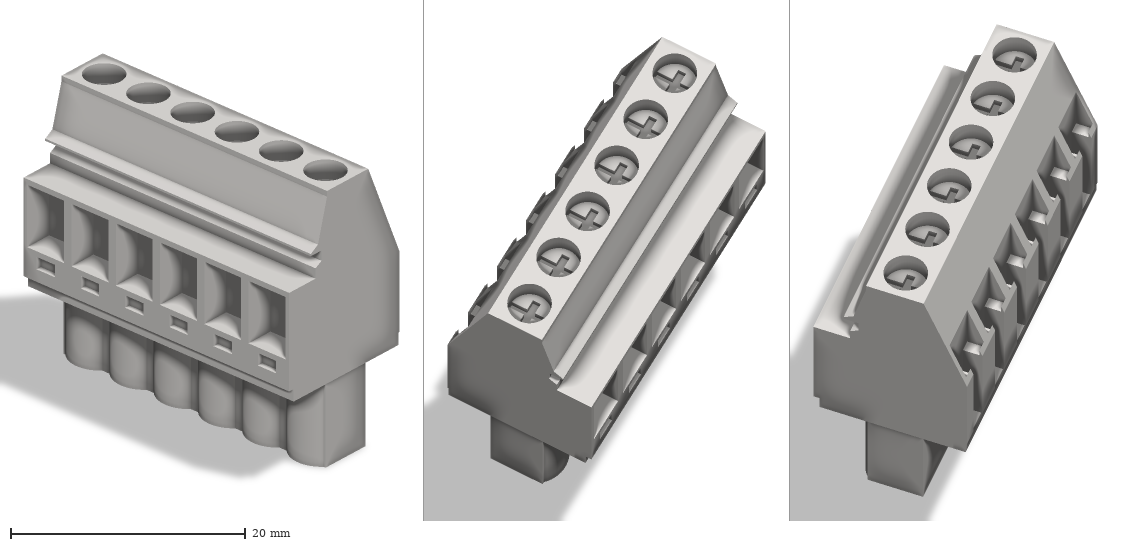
import cadquery as cq

LENGTH = 30.48
POLES = 6
PITCH = LENGTH / POLES
DEPTH = 14.1
HEIGHT = 27.1

HOUSING_BOTTOM = 8.3
SKIRT_TOP = 9.5
BACK_SLOPE_BOTTOM = 17.4
FRONT_BLOCK_TOP = 19.15
GROOVE_SLOPE_BOTTOM = 20.15
GROOVE_SLOPE_TOP = 20.57
NOSE_BOTTOM = 21.58
NOSE_TIP_TOP = 21.8
NOSE_ROOT = 22.35
TOP_EDGE_BOTTOM = 26.55

SKIRT_FRONT = 0.58
SKIRT_BACK = DEPTH - 0.12
NOSE_TIP_Y = 2.77
STEP_Y = 3.38
NOSE_ROOT_Y = 3.7
GROOVE_Y = 4.15
TOP_FRONT = 4.85
TOP_BACK = 10.12

PLUG_SIDE_INSET = 0.18
PLUG_FRONT = 4.88
PLUG_BACK = 10.0
BULGE_WIDTH = 4.27
BULGE_RISE = 0.88

ENTRY_WIDTH = 4.25
ENTRY_BOTTOM = 12.5
ENTRY_TOP = 18.6
ENTRY_DEPTH = 2.8
TEST_SLOT_WIDTH = 2.1
TEST_SLOT_BOTTOM = 10.73
TEST_SLOT_TOP = 11.95
TEST_SLOT_DEPTH = 0.55

POCKET_WIDTH = 4.1
POCKET_FRONT = 12.3
POCKET_BACK = 13.85
POCKET_LEDGE = BACK_SLOPE_BOTTOM
WINDOW_WIDTH = 2.1

LATCH_WIDTH = PITCH
LATCH_OUTLINE = [
    (13.45, HOUSING_BOTTOM),
    (12.85, 5.35),
    (11.43, 3.72),
    (10.95, 4.75),
    (11.75, 5.45),
    (11.75, 7.25),
    (11.4, HOUSING_BOTTOM),
]

SCREW_DIAMETER = 3.8
SCREW_Y = (TOP_FRONT + TOP_BACK) / 2
SCREW_RECESS = 1.92
SCREW_LENGTH = 3.05
SCREW_TOP = HEIGHT - SCREW_RECESS
SCREW_BOTTOM = SCREW_TOP - SCREW_LENGTH
LONG_SLOT_WIDTH = 0.55
CROSS_SLOT_LENGTH = 2.6
CROSS_SLOT_WIDTH = 0.75
DRIVE_DEPTH = 0.6

POLE_CENTRES = [(i + 0.5) * PITCH for i in range(POLES)]


def block(x_centre, width, y_range, z_range):
    """Box centred on x_centre in X, spanning the given Y and Z ranges."""
    y_start, y_end = y_range
    z_start, z_end = z_range
    base = cq.Workplane("XY", origin=(x_centre, y_start, z_start))
    return base.box(width, y_end - y_start, z_end - z_start, centered=(True, False, False))


def extrude_along_x(outline, x_start, width):
    """Solid with a (Y, Z) outline, running along X from x_start."""
    profile = cq.Workplane("YZ", origin=(x_start, 0, 0)).polyline(outline).close()
    return profile.extrude(width)


def make_shell():
    """Solid housing profile: stepped front with a nose, sloping back, skirt below."""
    outline = [
        (SKIRT_FRONT, HOUSING_BOTTOM),
        (SKIRT_FRONT, SKIRT_TOP),
        (0, SKIRT_TOP),
        (0, FRONT_BLOCK_TOP),
        (STEP_Y, FRONT_BLOCK_TOP),
        (STEP_Y, GROOVE_SLOPE_BOTTOM),
        (GROOVE_Y, GROOVE_SLOPE_TOP),
        (GROOVE_Y, NOSE_BOTTOM),
        (NOSE_TIP_Y, NOSE_BOTTOM),
        (NOSE_TIP_Y, NOSE_TIP_TOP),
        (NOSE_ROOT_Y, NOSE_ROOT),
        (TOP_FRONT, TOP_EDGE_BOTTOM),
        (TOP_FRONT, HEIGHT),
        (TOP_BACK, HEIGHT),
        (DEPTH, BACK_SLOPE_BOTTOM),
        (DEPTH, SKIRT_TOP),
        (SKIRT_BACK, SKIRT_TOP),
        (SKIRT_BACK, HOUSING_BOTTOM),
    ]
    return extrude_along_x(outline, 0, LENGTH)


def make_plug():
    """Plug block whose front face bulges out in a shallow arc at each pole."""
    half_bulge = BULGE_WIDTH / 2
    outline = cq.Workplane("XY").moveTo(PLUG_SIDE_INSET, PLUG_BACK).lineTo(PLUG_SIDE_INSET, PLUG_FRONT)
    for x in POLE_CENTRES:
        outline = outline.lineTo(x - half_bulge, PLUG_FRONT).threePointArc(
            (x, PLUG_FRONT - BULGE_RISE), (x + half_bulge, PLUG_FRONT)
        )
    outline = outline.lineTo(LENGTH - PLUG_SIDE_INSET, PLUG_FRONT)
    outline = outline.lineTo(LENGTH - PLUG_SIDE_INSET, PLUG_BACK).close()
    return outline.extrude(HOUSING_BOTTOM)


def make_latch():
    """Hooked latch, centred along the row."""
    return extrude_along_x(LATCH_OUTLINE, (LENGTH - LATCH_WIDTH) / 2, LATCH_WIDTH)


def make_screw_blank(x, top):
    """Cylinder of the screw diameter, from the screw's lower end up to top."""
    base = cq.Workplane("XY", origin=(x, SCREW_Y, SCREW_BOTTOM))
    return base.circle(SCREW_DIAMETER / 2).extrude(top - SCREW_BOTTOM)


def cut_pole_openings(body, x):
    """Cut the wire entry, test slot, back pocket and screw bore of the pole at x."""
    wire_entry = block(x, ENTRY_WIDTH, (0, ENTRY_DEPTH), (ENTRY_BOTTOM, ENTRY_TOP))
    test_slot = block(x, TEST_SLOT_WIDTH, (0, TEST_SLOT_DEPTH), (TEST_SLOT_BOTTOM, TEST_SLOT_TOP))
    pocket = block(x, POCKET_WIDTH, (POCKET_FRONT, POCKET_BACK), (POCKET_LEDGE, HEIGHT))
    window = block(x, WINDOW_WIDTH, (POCKET_FRONT, DEPTH), (SKIRT_TOP, HEIGHT))
    bore = make_screw_blank(x, HEIGHT)
    for opening in (wire_entry, test_slot, pocket, window, bore):
        body = body.cut(opening)
    return body


def make_housing():
    """Housing with its plug and latch, opened up at every pole."""
    body = make_shell().union(make_plug()).union(make_latch())
    for x in POLE_CENTRES:
        body = cut_pole_openings(body, x)
    return body


def make_screw(x):
    """Screw with a cross drive: one slot across the whole head, a shorter one at right angles."""
    drive_plane = cq.Workplane("XY", origin=(x, SCREW_Y, SCREW_TOP - DRIVE_DEPTH))
    long_slot = drive_plane.rect(LONG_SLOT_WIDTH, SCREW_DIAMETER).extrude(DRIVE_DEPTH)
    cross_slot = drive_plane.rect(CROSS_SLOT_LENGTH, CROSS_SLOT_WIDTH).extrude(DRIVE_DEPTH)
    return make_screw_blank(x, SCREW_TOP).cut(long_slot).cut(cross_slot)


housing = make_housing()
screws = [make_screw(x) for x in POLE_CENTRES]

result = cq.Compound.makeCompound([housing.val(), *[screw.val() for screw in screws]])